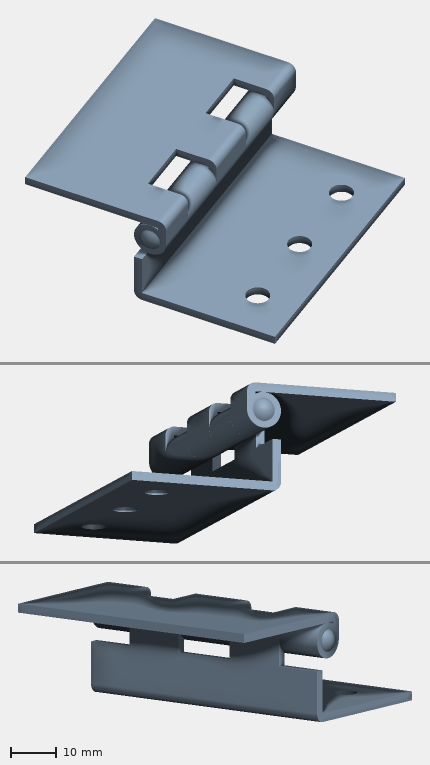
import cadquery as cq

leaf_length = 62.0
leaf_reach = 31.0
overall_height = 24.0
sheet = 2.0
bend_radius = 2.0

knuckle_radius = 4.0
pin_radius = 2.5
dome_height = 1.0
curl_gap = 0.01

middle_knuckle = 14.0
lower_knuckle = 13.5
lower_knuckle_offset = (middle_knuckle + lower_knuckle) / 2
lower_knuckle_centres = [-lower_knuckle_offset, lower_knuckle_offset]
end_knuckle = leaf_length / 2 - lower_knuckle_offset - lower_knuckle / 2
end_knuckle_offset = (leaf_length - end_knuckle) / 2
upper_knuckles = [
    (-end_knuckle_offset, end_knuckle),
    (0, middle_knuckle),
    (end_knuckle_offset, end_knuckle),
]

upper_notch_reach = 6.0
lower_notch_drop = 6.4

hole_count = 3
hole_diameter = 5.5
hole_pitch = 20.0
hole_edge_distance = 10.0

upper_plate_bottom = knuckle_radius + curl_gap
upper_plate_top = upper_plate_bottom + sheet
lower_plate_bottom = upper_plate_top - overall_height
lower_plate_top = lower_plate_bottom + sheet
wall_inside = knuckle_radius - sheet


def box(x_range, y_centre, y_width, z_range):
    """Block between two X values and two Z values, centred on y_centre."""
    x_size = x_range[1] - x_range[0]
    z_size = z_range[1] - z_range[0]
    centre = ((x_range[0] + x_range[1]) / 2, y_centre, (z_range[0] + z_range[1]) / 2)
    return cq.Workplane("XY").box(x_size, y_width, z_size).translate(centre)


def rod(radius, y_centre, length):
    """Cylinder on the hinge axis, centred on y_centre."""
    far_end = (0, y_centre + length / 2, 0)
    return cq.Workplane("XZ", origin=far_end).circle(radius).extrude(length)


def make_upper_leaf():
    """Plate on the -X side, bent down at +X into the side of three knuckles."""
    plate = box((-leaf_reach, knuckle_radius), 0, leaf_length, (upper_plate_bottom, upper_plate_top))
    wall = box((wall_inside, knuckle_radius), 0, leaf_length, (0, upper_plate_top))
    leaf = plate.union(wall)
    leaf = leaf.edges("|Y and >X and >Z").fillet(bend_radius)
    for y_centre in lower_knuckle_centres:
        notch = box((-upper_notch_reach, knuckle_radius), y_centre, lower_knuckle, (0, upper_plate_top))
        leaf = leaf.cut(notch)
    for y_centre, width in upper_knuckles:
        leaf = leaf.union(rod(knuckle_radius, y_centre, width))
    return leaf.cut(rod(pin_radius, 0, leaf_length))


def make_lower_leaf():
    """Plate on the +X side, bent up at -X into the side of two knuckles, with screw holes."""
    plate = box((-knuckle_radius, leaf_reach), 0, leaf_length, (lower_plate_bottom, lower_plate_top))
    wall = box((-knuckle_radius, -wall_inside), 0, leaf_length, (lower_plate_bottom, -lower_notch_drop))
    leaf = plate.union(wall)
    leaf = leaf.edges("|Y and <X and <Z").fillet(bend_radius)
    for y_centre in lower_knuckle_centres:
        tab = box((-knuckle_radius, -wall_inside), y_centre, lower_knuckle, (-lower_notch_drop, 0))
        leaf = leaf.union(tab).union(rod(knuckle_radius, y_centre, lower_knuckle))
    holes = (
        cq.Workplane("XY", origin=(leaf_reach - hole_edge_distance, 0, lower_plate_bottom))
        .rarray(1, hole_pitch, 1, hole_count)
        .circle(hole_diameter / 2)
        .extrude(sheet)
    )
    return leaf.cut(holes).cut(rod(pin_radius, 0, leaf_length))


def make_pin():
    """Straight pin through all knuckles, with a spherical dome beyond each leaf end."""
    half_length = leaf_length / 2
    tip = half_length + dome_height
    dome_radius = (pin_radius**2 + dome_height**2) / (2 * dome_height)
    mid_height = dome_height / 2
    mid_radius = (dome_radius**2 - (dome_radius - mid_height) ** 2) ** 0.5
    mid_y = tip - mid_height
    return (
        cq.Workplane("XY")
        .moveTo(0, -tip)
        .threePointArc((mid_radius, -mid_y), (pin_radius, -half_length))
        .lineTo(pin_radius, half_length)
        .threePointArc((mid_radius, mid_y), (0, tip))
        .close()
        .revolve(360, (0, 0, 0), (0, 1, 0))
    )


upper_leaf = make_upper_leaf()
lower_leaf = make_lower_leaf()
pin = make_pin()

result = cq.Compound.makeCompound([upper_leaf.solids().val(), lower_leaf.solids().val(), pin.val()])